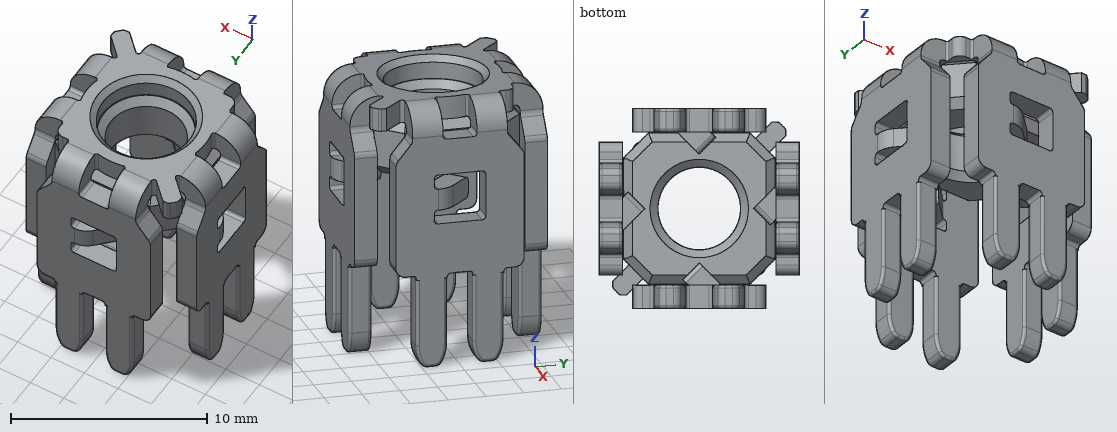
import cadquery as cq
import math

height = 14.0
width = 10.2
sheet = 1.2
outer_face = width / 2
inner_face = outer_face - sheet
mid_wall = -(outer_face + inner_face) / 2
plate_underside = height - sheet
mid_plate = height - sheet / 2

plate_edge = 3.4
plate_corner_radius = 0.5
collar_radius = 3.53
hole_radius = 2.55
hole_chamfer = 0.32

bend_radius = 1.5
strap_near = 0.9
strap_far = 2.5
relief_radius = 0.13
bend_end = height - bend_radius

tab_reach = 5.98
tab_width = 1.0
tab_tip_chamfer = 0.24
tab_tip_radius = 0.2
tab_root_radius = 0.136

wall_half_width = 3.39
notch_floor = height - 1.71
notch_radius = 0.2
flare_top = height - 1.71
flare_bottom = height - 2.79
flare_radius = 0.5
wall_bottom = height - 8.99
wall_corner_radius = 0.5

pin_offset = 1.5
pin_half_width = 0.81
pin_top = height - 9.23
pin_root_radius = 0.2
pin_edge_radius = 0.15
tip_height = 1.2
tip_side_radius = 2.0
tip_corner_radius = 0.4

window_half_width = 1.36
window_top = height - 3.61
window_bottom = height - 6.26
window_radius = 0.2
finger_top = height - 4.38
finger_bottom = height - 5.52
finger_bend_start = -1.15
finger_bend_radius = 1.23
finger_straight = 1.58
finger_tip_radius = 0.24
finger_angle = math.radians(45)

nut_half_width = 3.85
nut_height = 2.97
nut_corner_cut = 1.26
nut_chamfer = 0.46
bore_radius = 2.1
bore_chamfer = 0.4


def fillet_at(solid, points, radius):
    """Round the edges whose middles lie at the given points."""
    edges = [solid.edges(cq.selectors.NearestToPointSelector(p)).val() for p in points]
    return solid.newObject(edges).fillet(radius)


def mirrored(points):
    """Add the mirror image in X to a list of points."""
    return points + [(-x, *rest) for x, *rest in points]


def four_times(solid):
    """Repeat a solid at the four sides of the part."""
    copies = solid
    for turn in (90, 180, 270):
        copies = copies.union(solid.rotate((0, 0, 0), (0, 0, 1), turn))
    return copies


def wall_sketch():
    """Plane of the outer face of the front wall; extruding by -sheet fills the wall."""
    return cq.Workplane("XZ", origin=(0, -outer_face, 0))


def make_panel():
    half = [
        (strap_near, notch_floor),
        (strap_near, bend_end),
        (strap_far, bend_end),
        (strap_far, flare_top),
        (wall_half_width, flare_bottom),
        (wall_half_width, wall_bottom),
        (pin_offset + pin_half_width, wall_bottom),
        (pin_offset + pin_half_width, pin_top),
        (pin_offset - pin_half_width, pin_top),
        (pin_offset - pin_half_width, wall_bottom),
    ]
    other_half = [(-x, z) for x, z in reversed(half)]
    panel = wall_sketch().polyline(half + other_half).close().extrude(-sheet)

    roundings = [
        ([(strap_near, notch_floor)], notch_radius),
        ([(strap_far, flare_top), (wall_half_width, flare_bottom)], flare_radius),
        ([(wall_half_width, wall_bottom)], wall_corner_radius),
        ([(pin_offset + side * pin_half_width, wall_bottom) for side in (-1, 1)], pin_root_radius),
    ]
    for corners, radius in roundings:
        edge_middles = mirrored([(x, mid_wall, z) for x, z in corners])
        panel = fillet_at(panel, edge_middles, radius)
    return panel


def make_window():
    """Cutter for the window, leaving a stub at the left where the finger starts."""
    outline = [
        (window_half_width, window_top),
        (-window_half_width, window_top),
        (-window_half_width, finger_top),
        (finger_bend_start, finger_top),
        (finger_bend_start, finger_bottom),
        (-window_half_width, finger_bottom),
        (-window_half_width, window_bottom),
        (window_half_width, window_bottom),
    ]
    cutter = wall_sketch().polyline(outline).close().extrude(-sheet)
    rounded = [(x, mid_wall, z) for x, z in outline if abs(x) == window_half_width]
    return fillet_at(cutter, rounded, window_radius)


def make_finger():
    """Finger that continues the window stub and bends inward at 45 degrees."""
    center_y = -outer_face + finger_bend_radius

    def on_bend(radius, angle):
        return (finger_bend_start + radius * math.sin(angle), center_y - radius * math.cos(angle))

    def along(point):
        return (
            point[0] + finger_straight * math.cos(finger_angle),
            point[1] + finger_straight * math.sin(finger_angle),
        )

    inner_radius = finger_bend_radius - sheet
    outer_bend_end = on_bend(finger_bend_radius, finger_angle)
    inner_bend_end = on_bend(inner_radius, finger_angle)
    finger = (
        cq.Workplane("XY", origin=(0, 0, finger_bottom))
        .moveTo(finger_bend_start, -outer_face)
        .threePointArc(on_bend(finger_bend_radius, finger_angle / 2), outer_bend_end)
        .lineTo(*along(outer_bend_end))
        .lineTo(*along(inner_bend_end))
        .lineTo(*inner_bend_end)
        .threePointArc(on_bend(inner_radius, finger_angle / 2), on_bend(inner_radius, 0))
        .close()
        .extrude(finger_top - finger_bottom)
    )
    tip_x = (along(outer_bend_end)[0] + along(inner_bend_end)[0]) / 2
    tip_y = (along(outer_bend_end)[1] + along(inner_bend_end)[1]) / 2
    tip_edges = [(tip_x, tip_y, z) for z in (finger_top, finger_bottom)]
    return fillet_at(finger, tip_edges, finger_tip_radius)


def make_pin():
    """Pin centred on X = 0 with a tapered tip and rounded long edges."""

    def half_width_at(drop):
        return pin_half_width - tip_side_radius + math.sqrt(tip_side_radius**2 - drop**2)

    tip_end = half_width_at(tip_height)
    tip_middle = half_width_at(tip_height / 2)
    pin = (
        wall_sketch()
        .moveTo(-pin_half_width, pin_top)
        .lineTo(pin_half_width, pin_top)
        .lineTo(pin_half_width, tip_height)
        .threePointArc((tip_middle, tip_height / 2), (tip_end, 0))
        .lineTo(-tip_end, 0)
        .threePointArc((-tip_middle, tip_height / 2), (-pin_half_width, tip_height))
        .close()
        .extrude(-sheet)
    )
    pin = pin.faces("<Z").edges("|Y").fillet(tip_corner_radius)
    return pin.faces("|Y").edges("not(>Z)").fillet(pin_edge_radius)


def make_strap():
    """Quarter bend from the plate down to the wall."""
    diagonal = math.sqrt(0.5)
    strap_root = -hole_radius - hole_chamfer
    center_y = -outer_face + bend_radius
    inner_radius = bend_radius - sheet
    strap = (
        cq.Workplane("YZ", origin=(strap_near, 0, 0))
        .moveTo(strap_root, height)
        .lineTo(center_y, height)
        .threePointArc(
            (center_y - bend_radius * diagonal, bend_end + bend_radius * diagonal),
            (-outer_face, bend_end),
        )
        .lineTo(-inner_face, bend_end)
        .threePointArc(
            (center_y - inner_radius * diagonal, bend_end + inner_radius * diagonal),
            (center_y, plate_underside),
        )
        .lineTo(strap_root, plate_underside)
        .close()
        .extrude(strap_far - strap_near)
    )
    return strap.union(strap.mirror("YZ"))


def plate_layer():
    """Plane of the plate underside; extruding by sheet fills the plate."""
    return cq.Workplane("XY", origin=(0, 0, plate_underside))


def both_ends(points):
    """Add the half-turn image of points in the plate and lift them to its middle plane."""
    return [(sign * x, sign * y, mid_plate) for sign in (1, -1) for x, y in points]


def make_cone(mouth, inward, wide, narrow):
    """45-degree countersink narrowing from its mouth; inward is the direction along Z."""
    cone = cq.Workplane("XY", origin=(0, 0, mouth)).circle(wide)
    return cone.workplane(offset=inward * (wide - narrow)).circle(narrow).loft()


def make_plate_body():
    body = plate_layer().rect(2 * plate_edge, 2 * plate_edge).extrude(sheet)
    body = body.edges("|Z").fillet(plate_corner_radius)
    return body.union(plate_layer().circle(collar_radius).extrude(sheet))


def make_tabs():
    """One diagonal bar that forms the tabs at both corners, with beveled tips."""
    bar = plate_layer().rect(2 * tab_reach, tab_width).extrude(sheet)
    bar = bar.edges("|Z").chamfer(tab_tip_chamfer)
    bar = bar.edges("|Z").edges("<X or >X").fillet(tab_tip_radius)
    return bar.rotate((0, 0, 0), (0, 0, 1), -45)


def round_strap_corners(plate):
    """Round the corners beside the straps, except the four next to the tabs."""
    collar_meets_strap = math.sqrt(collar_radius**2 - strap_near**2)
    corners = [(strap_far, plate_edge), (plate_edge, strap_far)]
    for side in (-1, 1):
        corners.append((side * strap_near, collar_meets_strap))
        corners.append((collar_meets_strap, side * strap_near))
    return fillet_at(plate, both_ends(corners), relief_radius)


def relieve_tab_roots(plate):
    """Run the strap sides on to the tab sides and round each corner with one arc."""
    tab_span = tab_width / math.sqrt(2)
    corner = (strap_far, -strap_far - tab_span)
    outline = [corner, (strap_far, -plate_edge), (plate_edge - tab_span, -plate_edge)]
    relief = plate_layer().polyline(outline).close().extrude(sheet)
    relief = relief.union(relief.mirror((1, 1, 0)))
    plate = plate.cut(relief).cut(relief.rotate((0, 0, 0), (0, 0, 1), 180))
    return fillet_at(plate, both_ends([corner, (-corner[1], -corner[0])]), tab_root_radius)


def make_plate():
    plate = make_plate_body().union(make_tabs()).union(four_times(make_strap()))
    plate = relieve_tab_roots(round_strap_corners(plate))
    hole = plate_layer().circle(hole_radius).extrude(sheet)
    countersink = make_cone(height, -1, hole_radius + hole_chamfer, hole_radius)
    return plate.cut(hole).cut(countersink)


def make_nut():
    nut_bottom = plate_underside - nut_height
    nut = (
        cq.Workplane("XY", origin=(0, 0, nut_bottom))
        .rect(2 * nut_half_width, 2 * nut_half_width)
        .extrude(nut_height)
        .edges("|Z")
        .chamfer(nut_corner_cut)
        .faces("<Z or >Z")
        .chamfer(nut_chamfer)
    )
    nut = nut.cut(cq.Workplane("XY", origin=(0, 0, nut_bottom)).circle(bore_radius).extrude(nut_height))
    for mouth, inward in ((nut_bottom, 1), (plate_underside, -1)):
        nut = nut.cut(make_cone(mouth, inward, bore_radius + bore_chamfer, bore_radius))
    return nut


def make_wall():
    wall = make_panel().cut(make_window()).union(make_finger())
    pin = make_pin()
    for side in (-1, 1):
        wall = wall.union(pin.translate((side * pin_offset, 0, 0)))
    return wall


result = make_plate().union(make_nut()).union(four_times(make_wall()))